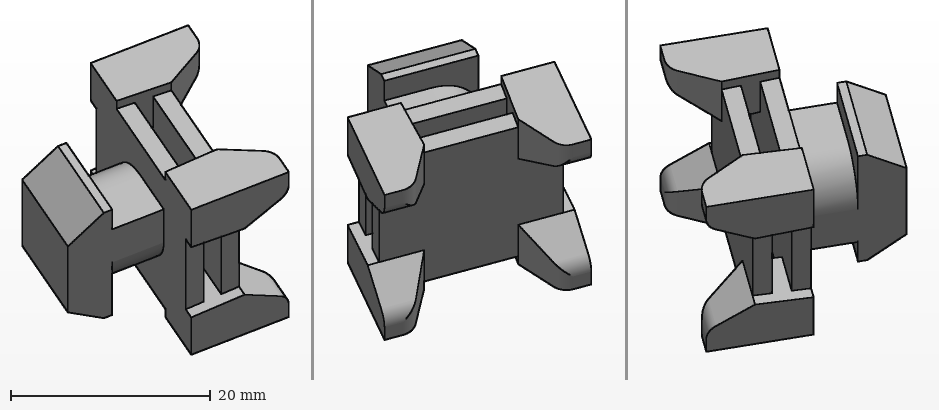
import cadquery as cq
import math

block_side = 22.0
block_depth = 11.0

layer_depth = 2.0
floor_y = 3 * layer_depth

channel_floor_width = 10.0
channel_draft = math.radians(3)
leg_slope = math.radians(30)
leg_tip_radius = 2.0
side_recess = 1.2

stem_width = channel_floor_width
stem_length = 5.8
head_height = 16.0
head_depth = 5.0
head_lip = 0.95

half_side = block_side / 2
half_floor = channel_floor_width / 2
plate_side = block_side - 2 * side_recess


def drafted_half_width(y):
    """Half width of a channel, widening from its floor to the mounting face."""
    return half_floor + (floor_y - y) * math.tan(channel_draft)


def symmetric_prism(right_points):
    """Mirror a chain of (x, y) points about X = 0 and extrude it along all of Z."""
    left_points = [(-x, y) for x, y in reversed(right_points)]
    outline = cq.Workplane("XY").polyline(right_points + left_points).close()
    return outline.extrude(half_side, both=True)


def turned_quarter(shape):
    """Turn a shape a quarter turn about the Y axis."""
    return shape.rotate((0, 0, 0), (0, 1, 0), 90)


def drafted_slot(start_y, end_y):
    """Slot with drafted walls, running along Z between two depths."""
    return symmetric_prism([
        (drafted_half_width(start_y), start_y),
        (drafted_half_width(end_y), end_y),
    ])


def flared_channel():
    """V-like channel along Z above the rear plate, with rounded leg tips."""
    corner_x = half_floor + (block_depth - floor_y) * math.tan(leg_slope)
    turn_angle = math.pi / 2 - leg_slope
    tangent = leg_tip_radius * math.tan(turn_angle / 2)
    slope_end = (
        corner_x - tangent * math.sin(leg_slope),
        block_depth - tangent * math.cos(leg_slope),
    )
    tip = (corner_x + tangent, block_depth)
    arc_middle = (
        tip[0] - leg_tip_radius * math.sin(turn_angle / 2),
        block_depth - leg_tip_radius * (1 - math.cos(turn_angle / 2)),
    )
    return (
        cq.Workplane("XY")
        .moveTo(-half_floor, floor_y)
        .lineTo(half_floor, floor_y)
        .lineTo(*slope_end)
        .threePointArc(arc_middle, tip)
        .lineTo(-tip[0], tip[1])
        .threePointArc((-arc_middle[0], arc_middle[1]), (-slope_end[0], slope_end[1]))
        .close()
        .extrude(half_side, both=True)
    )


def make_block():
    block = cq.Workplane("XY").box(block_side, block_depth, block_side, centered=(True, False, True))
    plate_core = cq.Workplane("XY").box(plate_side, floor_y, plate_side, centered=(True, False, True))
    recess = drafted_slot(0, floor_y).cut(plate_core)
    gap = drafted_slot(layer_depth, 2 * layer_depth)
    for cutter in (recess, gap, flared_channel()):
        block = block.cut(cutter).cut(turned_quarter(cutter))
    return block


def make_stem():
    """Square stem with two opposite long corners fully rounded."""
    stem = cq.Workplane("XY").box(stem_width, stem_length, stem_width, centered=(True, False, True))
    barrel = cq.Workplane("XZ").circle(stem_width / 2).extrude(-stem_length)
    quarter = stem_width / 2
    for side in (-1, 1):
        corner = (
            cq.Workplane("XY")
            .box(quarter, stem_length, quarter, centered=(True, False, True))
            .translate((side * quarter / 2, 0, -side * quarter / 2))
        )
        stem = stem.cut(corner.cut(barrel))
    return stem.translate((0, -stem_length, 0))


def make_head():
    """Hammer head with a straight lip, tapering to the stem width at its front."""
    back_y = -stem_length
    front_y = back_y - head_depth
    half_height = head_height / 2
    half_front = stem_width / 2
    return (
        cq.Workplane("YZ")
        .polyline([
            (back_y, -half_height),
            (back_y, half_height),
            (back_y - head_lip, half_height),
            (front_y, half_front),
            (front_y, -half_front),
            (back_y - head_lip, -half_height),
        ])
        .close()
        .extrude(stem_width / 2, both=True)
    )


result = make_block().union(make_stem()).union(make_head())